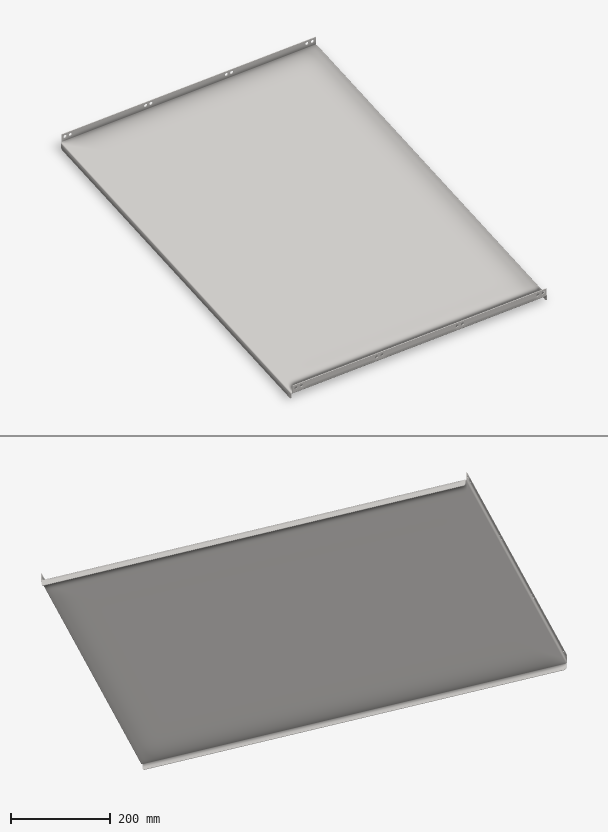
import cadquery as cq

length_x = 906.0
width_y = 596.0
height_z = 35.5

sheet = 1.5
bend_inner_radius = 1.0
bend_outer_radius = bend_inner_radius + sheet

end_flange_height = 21.0
side_flange_drop = height_z - end_flange_height + sheet

end_flange_span = width_y - 2 * bend_outer_radius
side_flange_span = length_x - 2 * bend_outer_radius
side_flange_corner_radius = 5.0

hole_diameter = 7.2
hole_pitch = 12.5
hole_steps_from_middle = (7, 8, 22, 23)
hole_depth_below_edge = 8.0
hole_center_z = end_flange_height - hole_depth_below_edge


def folded_strip(reach, flange_height, span):
    """Panel strip from the middle out to +X, folded up into a flange at x = reach."""
    bend_start = reach - bend_outer_radius
    return (
        cq.Workplane("XZ")
        .lineTo(bend_start, 0)
        .radiusArc((reach, bend_outer_radius), -bend_outer_radius)
        .lineTo(reach, flange_height)
        .lineTo(reach - sheet, flange_height)
        .lineTo(reach - sheet, bend_outer_radius)
        .radiusArc((bend_start, sheet), bend_inner_radius)
        .lineTo(0, sheet)
        .close()
        .extrude(span / 2, both=True)
    )


def end_half():
    """Half of the panel toward +X with its upward end flange."""
    return folded_strip(length_x / 2, end_flange_height, end_flange_span)


def side_half():
    """Half of the panel toward +Y with its downward, round-cornered side flange."""
    upward = folded_strip(width_y / 2, side_flange_drop, side_flange_span)
    downward = upward.rotate((0, 0, 0), (1, 0, 0), 180).translate((0, 0, sheet))
    toward_y = downward.rotate((0, 0, 0), (0, 0, 1), 90)
    return toward_y.edges("|Y and <Z").fillet(side_flange_corner_radius)


def hole_cutter():
    """Rods along X that cut every hole through both end flanges."""
    centers = [
        (side * step * hole_pitch, hole_center_z)
        for step in hole_steps_from_middle
        for side in (-1, 1)
    ]
    return (
        cq.Workplane("YZ")
        .pushPoints(centers)
        .circle(hole_diameter / 2)
        .extrude(length_x, both=True)
    )


end = end_half()
side = side_half()
panel = end.union(end.mirror("YZ")).union(side).union(side.mirror("XZ"))
result = panel.cut(hole_cutter())